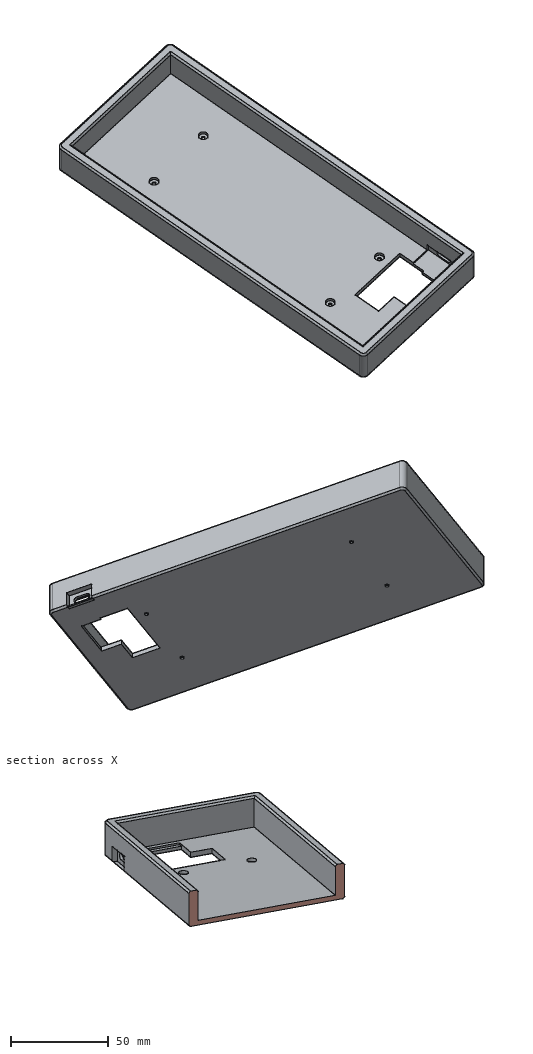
import cadquery as cq

LENGTH = 207.5
WIDTH = 88.4
HEIGHT = 20.0
CORNER_RADIUS = 3.0
OUTER_CHAMFER = 1.0

WALL = 5.5
FLOOR = 3.0
RIM_CHAMFER = 1.0

COUNTERBORE_DIAMETER = 5.0
COUNTERBORE_DEPTH = 1.9
SCREW_HOLE_DIAMETER = 2.0
SCREW_SPACING_X = 119.0
SCREW_SPACING_Y = 38.5

OPENING_LEFT = 66.0
OPENING_STEP = 82.0
OPENING_RIGHT = 93.3
OPENING_BACK = 27.8
OPENING_FRONT = -7.3
STEP_BACK = 26.8
STEP_FRONT = 4.8

RECESS_LEFT = 75.0
RECESS_RIGHT = 95.6
RECESS_DEPTH = 1.0
RECESS_WALL_DEPTH = 1.0
RECESS_TOP = 7.0

SLOT_LENGTH = 9.1
SLOT_HEIGHT = 3.7
SLOT_CENTRE_Z = 4.8

PLUG_LENGTH = 14.5
PLUG_HEIGHT = 8.7
WEB_THICKNESS = 1.7

RECESS_BACK = WIDTH / 2 - WALL + RECESS_WALL_DEPTH
CONNECTOR_X = (RECESS_LEFT + RECESS_RIGHT) / 2


def block(left, right, front, back, bottom, top):
    """Axis-aligned block between opposite faces."""
    return (
        cq.Workplane("XY")
        .box(right - left, back - front, top - bottom, centered=False)
        .translate((left, front, bottom))
    )


def make_tray():
    shell = (
        cq.Workplane("XY")
        .rect(LENGTH, WIDTH)
        .extrude(HEIGHT)
        .edges("|Z")
        .fillet(CORNER_RADIUS)
        .faces("<Z or >Z")
        .chamfer(OUTER_CHAMFER)
    )
    cavity = (
        cq.Workplane("XY")
        .workplane(offset=FLOOR)
        .rect(LENGTH - 2 * WALL, WIDTH - 2 * WALL)
        .extrude(HEIGHT - FLOOR)
    )
    rim = (
        cq.Workplane("XY")
        .workplane(offset=HEIGHT - RIM_CHAMFER)
        .rect(LENGTH - 2 * WALL, WIDTH - 2 * WALL)
        .workplane(offset=RIM_CHAMFER)
        .rect(LENGTH - 2 * (WALL - RIM_CHAMFER), WIDTH - 2 * (WALL - RIM_CHAMFER))
        .loft(ruled=True)
    )
    return shell.cut(cavity).cut(rim)


def cut_screw_holes(body):
    def holes(diameter, bottom, top):
        return (
            cq.Workplane("XY")
            .workplane(offset=bottom)
            .rect(SCREW_SPACING_X, SCREW_SPACING_Y, forConstruction=True)
            .vertices()
            .circle(diameter / 2)
            .extrude(top - bottom)
        )

    counterbores = holes(COUNTERBORE_DIAMETER, FLOOR - COUNTERBORE_DEPTH, FLOOR)
    return body.cut(counterbores).cut(holes(SCREW_HOLE_DIAMETER, 0, FLOOR))


def cut_floor_opening(body):
    main = block(OPENING_LEFT, OPENING_STEP, OPENING_FRONT, OPENING_BACK, 0, FLOOR)
    step = block(OPENING_STEP, OPENING_RIGHT, STEP_FRONT, STEP_BACK, 0, FLOOR)
    return body.cut(main).cut(step)


def cut_board_recess(body):
    recess = block(RECESS_LEFT, RECESS_RIGHT, STEP_FRONT, RECESS_BACK, FLOOR - RECESS_DEPTH, RECESS_TOP)
    return body.cut(recess)


def cut_connector_slot(body):
    slot = (
        cq.Workplane("XZ", origin=(CONNECTOR_X, RECESS_BACK, SLOT_CENTRE_Z))
        .slot2D(SLOT_LENGTH, SLOT_HEIGHT)
        .extrude(RECESS_BACK - WIDTH / 2)
    )
    plug_pocket = block(
        CONNECTOR_X - PLUG_LENGTH / 2,
        CONNECTOR_X + PLUG_LENGTH / 2,
        RECESS_BACK + WEB_THICKNESS,
        WIDTH / 2,
        SLOT_CENTRE_Z - PLUG_HEIGHT / 2,
        SLOT_CENTRE_Z + PLUG_HEIGHT / 2,
    )
    return body.cut(slot).cut(plug_pocket)


result = make_tray()
result = cut_screw_holes(result)
result = cut_floor_opening(result)
result = cut_board_recess(result)
result = cut_connector_slot(result)